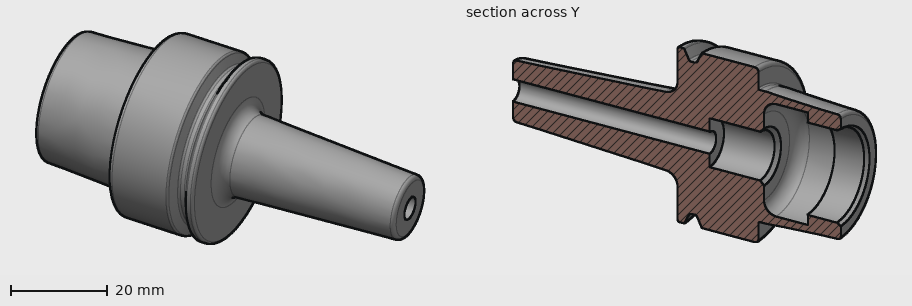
import cadquery as cq
import math


flange_start = 20.1
flange_end = 39.9
total_length = 80

shank_gauge_radius = 30.2 / 2
shank_taper_per_length = 1 / 20
shank_taper_end = 18.3
shank_mouth_radius = shank_gauge_radius - shank_taper_end * shank_taper_per_length
shank_mouth_fillet = 0.9
shank_root_fillet = 0.3

flange_radius = 40 / 2
flange_front_fillet = 1.0
flange_back_fillet = 0.6
groove_center = 36.1
groove_floor_radius = 34.8 / 2
groove_floor_width = 1.6
groove_flank_angle = 27
groove_flank_run = (flange_radius - groove_floor_radius) * math.tan(math.radians(groove_flank_angle))
groove_floor_half = groove_floor_width / 2
groove_mouth_half = groove_floor_half + groove_flank_run
groove_fillet = 0.6
groove_back_lip_fillet = 0.3

nose_tip_radius = 7.0
nose_taper_angle = 3
nose_length = total_length - flange_end
nose_root_radius = nose_tip_radius + nose_length * math.tan(math.radians(nose_taper_angle))
nose_root_fillet = 3.0
nose_tip_fillet = 1.0

mouth_radius = 21.0 / 2
mouth_chamfer_width = 0.6
mouth_chamfer_length = 1.0
mouth_end = 8.2
cavity_radius = 25.5 / 2
cavity_depth = 18.7
cavity_fillet = 3.0

counterbore_radius = 11.0 / 2
counterbore_chamfer = (13.0 - 11.0) / 2
counterbore_end = 32
through_radius = 5.0 / 2


def turned(points):
    """Revolve a closed outline of (x, radius) points about the X axis."""
    return cq.Workplane("XY").polyline(points).close().revolve(360, (0, 0, 0), (1, 0, 0))


def rims(solid, *places):
    """Select the circular edges at the given (x, radius) places."""
    tolerance = 0.001

    def matches(edge):
        if edge.geomType() != "CIRCLE":
            return False
        x = edge.arcCenter().x
        return any(math.hypot(x - px, edge.radius() - pr) < tolerance for px, pr in places)

    return solid.edges().filter(matches)


def make_body():
    groove_mouth_front = (groove_center - groove_mouth_half, flange_radius)
    groove_floor_front = (groove_center - groove_floor_half, groove_floor_radius)
    groove_floor_back = (groove_center + groove_floor_half, groove_floor_radius)
    groove_mouth_back = (groove_center + groove_mouth_half, flange_radius)
    groove = [groove_mouth_front, groove_floor_front, groove_floor_back, groove_mouth_back]
    shank_mouth = (0, shank_mouth_radius)
    shank_root = (flange_start, shank_gauge_radius)
    flange_front = (flange_start, flange_radius)
    flange_back = (flange_end, flange_radius)
    nose_root = (flange_end, nose_root_radius)
    nose_tip = (total_length, nose_tip_radius)

    shank = [(0, 0), shank_mouth, (shank_taper_end, shank_gauge_radius), shank_root]
    nose = [nose_root, nose_tip, (total_length, 0)]
    body = turned(shank + [flange_front] + groove + [flange_back] + nose)

    body = rims(body, shank_mouth).fillet(shank_mouth_fillet)
    body = rims(body, shank_root).fillet(shank_root_fillet)
    body = rims(body, flange_front).fillet(flange_front_fillet)
    body = rims(body, groove_mouth_front, groove_floor_front, groove_floor_back).fillet(groove_fillet)
    body = rims(body, groove_mouth_back).fillet(groove_back_lip_fillet)
    body = rims(body, flange_back).fillet(flange_back_fillet)
    body = rims(body, nose_root).fillet(nose_root_fillet)
    return rims(body, nose_tip).fillet(nose_tip_fillet)


def make_clamping_cavity():
    cavity = turned([
        (0, 0),
        (0, mouth_radius + mouth_chamfer_width),
        (mouth_chamfer_length, mouth_radius),
        (mouth_end, mouth_radius),
        (mouth_end, cavity_radius),
        (cavity_depth, cavity_radius),
        (cavity_depth, 0),
    ])
    return rims(cavity, (cavity_depth, cavity_radius)).fillet(cavity_fillet)


def make_stepped_bore():
    return turned([
        (cavity_depth, 0),
        (cavity_depth, counterbore_radius + counterbore_chamfer),
        (cavity_depth + counterbore_chamfer, counterbore_radius),
        (counterbore_end, counterbore_radius),
        (counterbore_end, through_radius),
        (total_length, through_radius),
        (total_length, 0),
    ])


result = make_body().cut(make_clamping_cavity()).cut(make_stepped_bore())